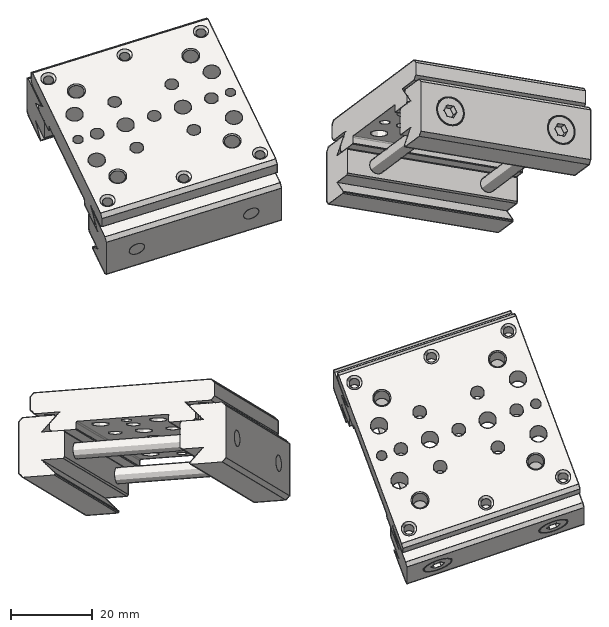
import cadquery as cq
import math

LENGTH = 46.0

CLAMP_HALF_SPAN = 26.95
CLAMP_HEIGHT = 15.0
CLAMP_EDGE_CHAMFER = 1.0
LIP_X = 17.5
LIP_CHAMFER = 0.25
BLOCK_X = 15.0
BLOCK_HEIGHT = 7.0
BLOCK_CHAMFER = 0.4
NOTCH_X = 21.0
MID_Z = CLAMP_HEIGHT / 2
BLOCK_TOP = MID_Z + BLOCK_HEIGHT / 2
LIP_Z = BLOCK_TOP + NOTCH_X - LIP_X

PLATE_TOP = 21.0
PLATE_HALF_WIDTH = 24.0
FLANGE_THICKNESS = 5.3
PLATE_EDGE_CHAMFER = 1.0
DOVETAIL_HALF_WIDTH = 19.0
DOVETAIL_CHAMFER = 0.5
RECESS_HALF_WIDTH = 12.0
WEB_THICKNESS = 8.0
RECESS_FILLET = 0.3
RECESS_EDGE_CHAMFER = 0.2
FLANGE_Z = PLATE_TOP - FLANGE_THICKNESS
WEB_Z = PLATE_TOP - WEB_THICKNESS
FLANK_SUM = NOTCH_X + BLOCK_TOP
NECK_X = FLANK_SUM - FLANGE_Z
FLANK_END_Z = FLANK_SUM - DOVETAIL_HALF_WIDTH

HOLE_PITCH = 7.5
SCREW_Y = 2 * HOLE_PITCH
MEDIUM_DIAMETER = 3.3
LARGE_DIAMETER = 4.2
OUTER_LARGE_Y = 18.0
SMALL_DIAMETER = 2.5
EDGE_HOLE_OFFSET = 20.0
EDGE_SINK_DIAMETER = 3.7
BLIND_X = 14.0
BLIND_DIAMETER = 3.8
BLIND_SINK_DIAMETER = 4.4
BLIND_DEPTH = 6.0
DRILL_HALF_ANGLE = 59.0

SHANK_DIAMETER = 4.0
HEAD_DIAMETER = 7.0
HEAD_HEIGHT = 4.0
COUNTERBORE_DIAMETER = 7.5
SOCKET_FLATS = 3.0
SOCKET_DEPTH = 2.0


def extrude_along_length(points):
    """Extrude an XZ outline symmetrically over the part length."""
    return cq.Workplane("XZ").polyline(points).close().extrude(LENGTH / 2, both=True)


def x_cylinder(diameter, x_start, x_end, y):
    """Cylinder along X at screw height."""
    disc = cq.Workplane("YZ", origin=(x_start, y, MID_Z)).circle(diameter / 2)
    return disc.extrude(x_end - x_start)


def through_holes(body, diameter, places):
    """Drill plain vertical holes through the plate."""
    return body.cut(
        cq.Workplane("XY").pushPoints(places).circle(diameter / 2).extrude(PLATE_TOP)
    )


def countersinks(body, hole_diameter, sink_diameter, places):
    """Bevel the top rim of each hole at 45 degrees."""
    depth = (sink_diameter - hole_diameter) / 2
    sink = cq.Solid.makeCone(hole_diameter / 2, sink_diameter / 2, depth)
    for x, y in places:
        body = body.cut(cq.Workplane(sink.moved(cq.Location(cq.Vector(x, y, PLATE_TOP - depth)))))
    return body


def mirrored_pairs(x, y):
    """The four places at plus and minus x and y."""
    return [(sx * x, sy * y) for sx in (-1, 1) for sy in (-1, 1)]


def make_plate():
    half = [
        (PLATE_HALF_WIDTH - PLATE_EDGE_CHAMFER, PLATE_TOP),
        (PLATE_HALF_WIDTH, PLATE_TOP - PLATE_EDGE_CHAMFER),
        (PLATE_HALF_WIDTH, FLANGE_Z + PLATE_EDGE_CHAMFER),
        (PLATE_HALF_WIDTH - PLATE_EDGE_CHAMFER, FLANGE_Z),
        (NECK_X, FLANGE_Z),
        (DOVETAIL_HALF_WIDTH, FLANK_END_Z),
        (DOVETAIL_HALF_WIDTH, BLOCK_TOP + DOVETAIL_CHAMFER),
        (DOVETAIL_HALF_WIDTH - DOVETAIL_CHAMFER, BLOCK_TOP),
        (RECESS_HALF_WIDTH + RECESS_EDGE_CHAMFER, BLOCK_TOP),
        (RECESS_HALF_WIDTH, BLOCK_TOP + RECESS_EDGE_CHAMFER),
        (RECESS_HALF_WIDTH, WEB_Z),
    ]
    plate = extrude_along_length(half + [(-x, z) for x, z in reversed(half)])
    inner_edges = cq.selectors.BoxSelector(
        (-RECESS_HALF_WIDTH - RECESS_FILLET, -LENGTH, WEB_Z - RECESS_FILLET),
        (RECESS_HALF_WIDTH + RECESS_FILLET, LENGTH, WEB_Z + RECESS_FILLET),
    )
    plate = plate.edges("|Y").edges(inner_edges).fillet(RECESS_FILLET)

    medium = mirrored_pairs(HOLE_PITCH, HOLE_PITCH) + [(0, -SCREW_Y), (0, 0), (0, SCREW_Y)]
    plate = through_holes(plate, MEDIUM_DIAMETER, medium)
    large = mirrored_pairs(HOLE_PITCH, OUTER_LARGE_Y) + [(0, -HOLE_PITCH), (0, HOLE_PITCH)]
    plate = through_holes(plate, LARGE_DIAMETER, large)

    rows = (-EDGE_HOLE_OFFSET, 0, EDGE_HOLE_OFFSET)
    edge_holes = [(x, y) for x in (-EDGE_HOLE_OFFSET, EDGE_HOLE_OFFSET) for y in rows]
    end_holes = [(0, -EDGE_HOLE_OFFSET), (0, EDGE_HOLE_OFFSET)]
    plate = through_holes(plate, SMALL_DIAMETER, edge_holes + end_holes)
    plate = countersinks(plate, SMALL_DIAMETER, EDGE_SINK_DIAMETER, edge_holes)

    return drill_blind_holes(plate)


def drill_blind_holes(plate):
    """Four countersunk blind holes with conical drill points."""
    radius = BLIND_DIAMETER / 2
    floor_z = PLATE_TOP - BLIND_DEPTH
    tip_z = floor_z - radius / math.tan(math.radians(DRILL_HALF_ANGLE))
    section = [(0, tip_z), (radius, floor_z), (radius, PLATE_TOP), (0, PLATE_TOP)]
    drill = cq.Workplane("XZ").polyline(section).close().revolve(360, (0, 0), (0, 1))
    places = mirrored_pairs(BLIND_X, SCREW_Y)
    for x, y in places:
        plate = plate.cut(drill.translate((x, y, 0)))
    return countersinks(plate, BLIND_DIAMETER, BLIND_SINK_DIAMETER, places)


def make_clamp(side):
    """Clamp on the given side: -1 at -X, with counterbores for the heads, or +1 at +X."""
    upper = [
        (CLAMP_HALF_SPAN, CLAMP_HEIGHT - CLAMP_EDGE_CHAMFER),
        (CLAMP_HALF_SPAN - CLAMP_EDGE_CHAMFER, CLAMP_HEIGHT),
        (LIP_X + LIP_CHAMFER, CLAMP_HEIGHT),
        (LIP_X, CLAMP_HEIGHT - LIP_CHAMFER),
        (LIP_X, LIP_Z),
        (NOTCH_X, BLOCK_TOP),
        (BLOCK_X + BLOCK_CHAMFER, BLOCK_TOP),
        (BLOCK_X, BLOCK_TOP - BLOCK_CHAMFER),
    ]
    outline = upper + [(x, CLAMP_HEIGHT - z) for x, z in reversed(upper)]
    clamp = extrude_along_length([(side * x, z) for x, z in outline])
    for y in (-SCREW_Y, SCREW_Y):
        clamp = clamp.cut(x_cylinder(SHANK_DIAMETER, -CLAMP_HALF_SPAN, CLAMP_HALF_SPAN, y))
        if side < 0:
            bore_end = -CLAMP_HALF_SPAN + HEAD_HEIGHT
            clamp = clamp.cut(x_cylinder(COUNTERBORE_DIAMETER, -CLAMP_HALF_SPAN, bore_end, y))
    return clamp


def make_screw(y):
    """Socket head screw along X, flush with both outer clamp faces."""
    head_face = -CLAMP_HALF_SPAN
    head = x_cylinder(HEAD_DIAMETER, head_face, head_face + HEAD_HEIGHT, y)
    shank = x_cylinder(SHANK_DIAMETER, head_face + HEAD_HEIGHT, CLAMP_HALF_SPAN, y)
    socket_corners = SOCKET_FLATS / math.cos(math.pi / 6)
    socket = cq.Workplane("YZ", origin=(head_face, y, MID_Z)).polygon(6, socket_corners)
    return head.union(shank).cut(socket.extrude(SOCKET_DEPTH))


plate = make_plate()
clamps = [make_clamp(side) for side in (-1, 1)]
screws = [make_screw(y) for y in (-SCREW_Y, SCREW_Y)]

result = cq.Compound.makeCompound(
    [plate.val(), *[clamp.val() for clamp in clamps], *[screw.val() for screw in screws]]
)